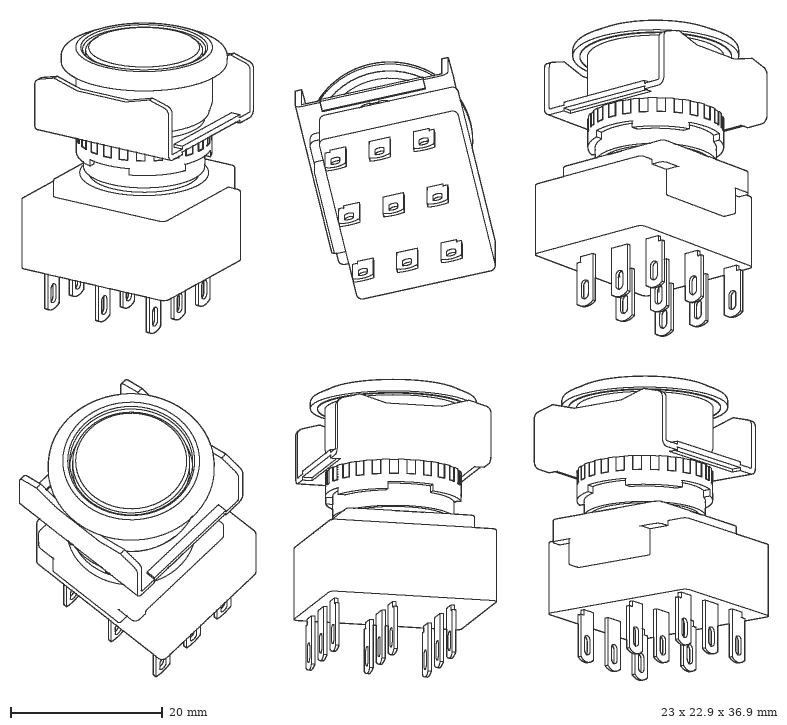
import cadquery as cq


bezel_radius = 11.0
bezel_top_radius = 9.05
bezel_cone_drop = 0.93
bezel_edge_fillet = 0.45
bezel_height = 2.0
seat_radius = 10.05
seat_height = 0.1
barrel_radius = 9.05
barrel_bottom = -7.5
barrel_taper_radius = 8.6
barrel_taper_bottom = -8.95
thread_radius = 8.03
thread_bottom = -16.85
neck_radius = 7.3
collar_radius = 8.54

groove_radius = 8.15
groove_depth = 2.0
groove_lip = 0.25
cap_radius = 7.75
cap_chamfer = 0.4

bracket_length = 21.1
bracket_width = 20.75
wall_thickness = 0.85
floor_thickness = 0.8
floor_bottom = -10.8
bend_radius = 1.0
inner_bend_radius = 0.2
ear_peak_x = 7.5
ear_peak_z = -2.6
dip_half_width = 3.8
dip_z = -3.65
ear_outer_drop = 0.85
ear_corner_radius = 0.95
lip_length = 14.0
lip_width = 1.33
lip_rise = 0.4

nut_radius = 9.0
nut_bottom = -14.75
notch_count = 24
notch_width = 1.17
notch_depth = 0.15
notch_bottom = -12.7
wrench_slot_width = 6.14
wrench_slot_depth = 0.9

plate_size = 17.8
plate_top = -17.75
plate_height = 3.1
corner_radius = 0.8
edge_radius = 0.25
case_length = 23.0
case_width = 18.85
case_center_x = -0.43
case_center_y = -2.5
case_top = -20.1
case_bottom = -29.9
latch_length = 12.0
latch_bottom = -24.4

terminal_columns = 3
terminal_column_pitch = 8.0
terminal_center_x = -2.0
terminal_rows = 3
terminal_row_pitch = 6.0
terminal_center_y = -1.0
terminal_thickness = 0.5
terminal_width = 2.8
terminal_end = -36.9
tip_height = 0.5
tip_taper = 0.08
shoulder_width = 0.65
shoulder_height = 0.75
solder_slot_width = 1.2
solder_slot_length = 2.6
solder_slot_center_z = -34.6

plate_bottom = plate_top - plate_height
floor_top = floor_bottom + floor_thickness

selection_reach = case_length
selection_tolerance = 0.01


def cylinder(radius, bottom, top):
    return cq.Workplane("XY").workplane(offset=bottom).circle(radius).extrude(top - bottom)


def box(length, width, bottom, top, center_x=0, center_y=0):
    height = top - bottom
    center = (center_x, center_y, (bottom + top) / 2)
    return cq.Workplane("XY").box(length, width, height).translate(center)


def revolved(points):
    """Solid of revolution about Z from (radius, z) points."""
    return cq.Workplane("XZ").polyline(points).close().revolve(360, (0, 0, 0), (0, 1, 0))


def edges_at_height(z):
    """Selector for the edges whose centers lie at height z."""
    return cq.selectors.BoxSelector(
        (-selection_reach, -selection_reach, z - selection_tolerance),
        (selection_reach, selection_reach, z + selection_tolerance),
    )


def make_operator():
    """Button, bezel and barrel down to the collar sunk in the contact block."""
    bezel = revolved([
        (0, 0),
        (bezel_top_radius, 0),
        (bezel_radius, -bezel_cone_drop),
        (bezel_radius, -bezel_height),
        (0, -bezel_height),
    ])
    rim_corner = edges_at_height(-bezel_cone_drop)
    bezel = bezel.edges(rim_corner).fillet(bezel_edge_fillet)
    shank = revolved([
        (0, -bezel_height),
        (seat_radius, -bezel_height),
        (seat_radius, -bezel_height - seat_height),
        (barrel_radius, -bezel_height - seat_height),
        (barrel_radius, barrel_bottom),
        (barrel_taper_radius, barrel_taper_bottom),
        (thread_radius, barrel_taper_bottom),
        (thread_radius, thread_bottom),
        (neck_radius, thread_bottom),
        (neck_radius, plate_top),
        (collar_radius, plate_top),
        (collar_radius, plate_bottom),
        (0, plate_bottom),
    ])
    groove = revolved([
        (cap_radius - cap_chamfer, 0),
        (groove_radius + groove_lip, 0),
        (groove_radius, -groove_lip),
        (groove_radius, -groove_depth),
        (cap_radius, -groove_depth),
        (cap_radius, -cap_chamfer),
    ])
    return bezel.union(shank).cut(groove)


def make_bracket():
    """U-shaped sheet with two winged walls and a joggled lip at each open end."""
    inner_width = bracket_width - 2 * wall_thickness
    channel = box(bracket_length, bracket_width, floor_bottom, ear_peak_z)
    channel = channel.edges("|X and <Z").fillet(bend_radius)
    inside = box(bracket_length, inner_width, floor_top, ear_peak_z)
    inside = inside.edges("|X and <Z").fillet(inner_bend_radius)
    channel = channel.cut(inside)

    half_length = bracket_length / 2
    ear_outer_z = ear_peak_z - ear_outer_drop
    wall_outline = (
        cq.Workplane("XZ")
        .moveTo(-half_length, floor_bottom)
        .lineTo(-half_length, ear_outer_z)
        .lineTo(-ear_peak_x, ear_peak_z)
        .lineTo(-dip_half_width, dip_z)
        .lineTo(dip_half_width, dip_z)
        .lineTo(ear_peak_x, ear_peak_z)
        .lineTo(half_length, ear_outer_z)
        .lineTo(half_length, floor_bottom)
        .close()
        .extrude(bracket_width / 2, both=True)
    )
    outer_corners = edges_at_height(ear_outer_z)
    wall_outline = wall_outline.edges(outer_corners).fillet(ear_corner_radius)
    bracket = channel.intersect(wall_outline)

    for side in (-1, 1):
        lip_x = side * (half_length - lip_width / 2)
        bracket = bracket.cut(box(lip_width, lip_length, floor_bottom, floor_top, lip_x))
        lip = box(lip_width, lip_length, floor_bottom + lip_rise, floor_top + lip_rise, lip_x)
        bracket = bracket.union(lip)
    return bracket.cut(cylinder(thread_radius, floor_bottom, ear_peak_z))


def make_nut():
    """Ring nut with shallow grip notches above and four wrench slots below."""
    nut = cylinder(nut_radius, nut_bottom, floor_bottom)
    nut = nut.cut(cylinder(thread_radius, nut_bottom, floor_bottom))
    notch = box(2 * notch_depth, notch_width, notch_bottom, floor_bottom, nut_radius)
    for index in range(notch_count):
        angle = index * 360 / notch_count
        nut = nut.cut(notch.rotate((0, 0, 0), (0, 0, 1), angle))
    slot_top = nut_bottom + wrench_slot_depth
    nut = nut.cut(box(2 * nut_radius, wrench_slot_width, nut_bottom, slot_top))
    return nut.cut(box(wrench_slot_width, 2 * nut_radius, nut_bottom, slot_top))


def make_terminal(x, y, shoulder_side):
    """Flat solder tag; shoulder_side is -1 or 1 for a shoulder on that Y side, 0 for none."""
    half_width = terminal_width / 2
    tip_start = terminal_end + tip_height
    tag = (
        cq.Workplane("YZ")
        .moveTo(-half_width, case_bottom)
        .lineTo(-half_width, tip_start)
        .threePointArc((0, terminal_end), (half_width, tip_start))
        .lineTo(half_width, case_bottom)
        .close()
        .extrude(terminal_thickness / 2, both=True)
    )
    slot = (
        cq.Workplane("YZ")
        .center(0, solder_slot_center_z)
        .slot2D(solder_slot_length, solder_slot_width, 90)
        .extrude(terminal_thickness, both=True)
    )
    tag = tag.cut(slot)
    for side in (-1, 1):
        face_x = side * terminal_thickness / 2
        taper = (
            cq.Workplane("XZ")
            .moveTo(face_x, tip_start)
            .lineTo(face_x, terminal_end)
            .lineTo(face_x - side * tip_taper, terminal_end)
            .close()
            .extrude(half_width, both=True)
        )
        tag = tag.cut(taper)
    if shoulder_side:
        relief_y = shoulder_side * (half_width - shoulder_width / 2)
        relief_bottom = case_bottom - shoulder_height
        tag = tag.cut(box(terminal_thickness, shoulder_width, relief_bottom, case_bottom, 0, relief_y))
    return tag.translate((x, y, 0))


def make_contact_block():
    """Plate, case, latch and terminals, bored for the operator collar."""
    plate = box(plate_size, plate_size, plate_bottom, plate_top)
    plate = plate.edges("|Z").fillet(corner_radius).faces(">Z").edges().fillet(edge_radius)
    case = box(case_length, case_width, case_bottom, case_top, case_center_x, case_center_y)
    case = case.edges("|Z").fillet(corner_radius).faces(">Z").edges().fillet(edge_radius)
    latch = box(latch_length, plate_size / 2, latch_bottom, plate_bottom, 0, plate_size / 4)
    latch = latch.edges("(|Z and >Y) or <Z").fillet(edge_radius)
    block = case.union(plate).union(latch)

    for column in range(terminal_columns):
        x = terminal_center_x + (column - (terminal_columns - 1) / 2) * terminal_column_pitch
        for row in range(terminal_rows):
            row_offset = row - (terminal_rows - 1) / 2
            y = terminal_center_y + row_offset * terminal_row_pitch
            shoulder_side = int(row_offset)
            block = block.union(make_terminal(x, y, shoulder_side))
    return block.cut(cylinder(collar_radius, plate_bottom, plate_top))


operator = make_operator()
bracket = make_bracket()
nut = make_nut()
contact_block = make_contact_block()

result = cq.Compound.makeCompound([
    operator.val(),
    bracket.val(),
    nut.val(),
    contact_block.val(),
])